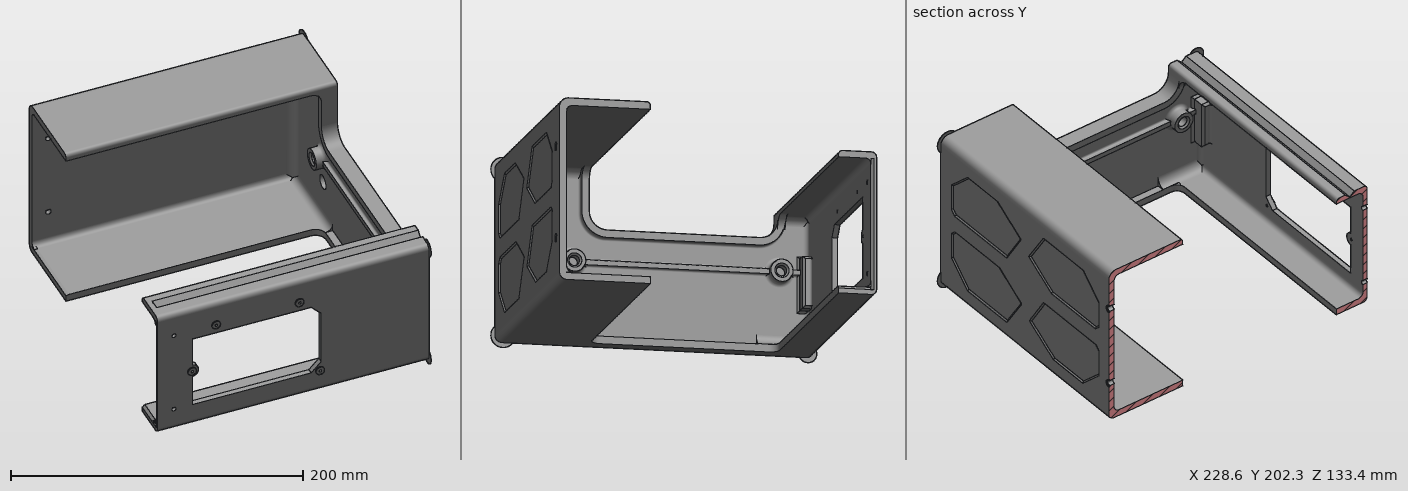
import cadquery as cq
import math

BODY_WIDTH = 222.3
BODY_DEPTH = 202.29
EPS = 1.0

LEFT_WIDTH = 63.7
LEFT_HEIGHT = 127.4
LEFT_WALL = 5.0
LEFT_FLANGE = 5.3
LEFT_BEVEL_DEPTH = 2.5
LEFT_BEVEL_DROP = 0.5
LEFT_TOP_ROUND = 6.4
LEFT_EDGE_ROUND = 2.8
LEFT_BOTTOM_ROUND = 5.0

RIGHT_WIDTH = 26.7
RIGHT_HEIGHT = 100.0
RIGHT_WALL = 4.0
RIGHT_FLANGE = 4.6
RIGHT_FRONT_CHAMFER = 1.9
RIGHT_ROUND = 3.8
RIGHT_EDGE_ROUND = 2.8
RIGHT_X = BODY_WIDTH - RIGHT_WIDTH

PLATE = 6.5
RIM_DEPTH = 12.0
RIM_WIDTH = 5.3
SADDLE_Z = 80.0
SADDLE_RADIUS = 12.5
GUSSET_LEFT = 8.0
GUSSET_RIGHT = 6.5
GUSSET_RIGHT_TOP = 9.0
LEFT_REAR_FILLETS = {"<Z": 5.4, ">Z": 6.6, "<X": 7.0}
RIGHT_REAR_FILLETS = {"<Z": 7.3, ">Z": 5.8, ">X": 3.6}
SADDLE_FILLET = 1.5
FLOOR_FILLET_LEFT_END = 70.3
FLOOR_FILLET_RIGHT_END = 182.0
INNER_ROUND = 4.0

EAR_THICKNESS = 0.3
EARS = [
    (6.0, LEFT_HEIGHT - 6.2, 8.8),
    (5.6, 5.0, 8.4),
    (BODY_WIDTH - 2.9, RIGHT_HEIGHT - 3.7, 6.4),
    (BODY_WIDTH - 2.9, 2.9, 6.35),
]

BOSS_Z = 57.2
BOSS_XS = (52.8, 198.1)
BOSS_RADIUS = 7.8
BOSS_BASE_RADIUS = 10.6
BOSS_HEIGHT = 8.0
BOSS_BORE_RADIUS = 3.6
BOSS_CHAMFER = 1.4
RIB_WIDTH = 3.6
RIB_HEIGHT = 3.2
RIB_FILLET = 1.4

CABLE_HOLE = (53.2, 35.2)
CABLE_HOLE_RADIUS = 5.3

BLOCK_X = 212.0
BLOCK_Z = 49.0
BLOCK_HEIGHT = 36.4
BLOCK_DEPTH = 11.2
BLOCK_FILLET = 1.7
BLOCK_FOOT_EDGE = 0.1

GROOVE_X = 207.0
GROOVE_WIDTH = 7.8
GROOVE_DEPTH = 3.4
GROOVE_FRONT_WEB = 4.2

WINDOW_REAR = 80.5
WINDOW_FRONT = 176.2
WINDOW_BOTTOM = 17.0
WINDOW_TOP = 74.0
WINDOW_CHAMFER = 7.5

PANEL_OUTLINES = [
    [
        (-12.2, 73.2), (-12.2, 94.2), (-30.5, 111.9), (-63.8, 111.9),
        (-91.0, 94.9), (-75.0, 69.5), (-16.2, 69.5),
    ],
    [
        (-12.2, 52.4), (-12.2, 31.7), (-30.5, 14.1), (-75.1, 14.1),
        (-91.7, 39.8), (-66.1, 56.2), (-16.2, 56.2),
    ],
]
PANEL_CENTRE = (-95.7, 63.0)
PANEL_TAPER = 50
PANEL_RECESS = 1.0

SCREW_RADIUS = 2.0
SCREW_HEAD_RADIUS = 2.9
SCREW_HEAD_DEPTH = 0.9
SCREW_FROM_FRONT = 12.2
LEFT_SCREW_ZS = (31.6, 95.7)
RIGHT_SCREW_ZS = (17.3, 81.3)
RIGHT_SCREW_RADIUS = 1.5

WINDOW_TAB = (-176.8, 46.4)
TAB_RADIUS = 5.0
PADS = [(-81.5, 17.3), WINDOW_TAB, (-96.8, 81.3), (-158.9, 81.3)]
PAD_RADIUS = 3.2
PAD_HEIGHT = 0.9
PILOT_RADIUS = 0.9


def box(x0, x1, y0, y1, z0, z1):
    """Axis-aligned block between two opposite corners."""
    return cq.Workplane("XY").box(x1 - x0, y1 - y0, z1 - z0, centered=False).translate((x0, y0, z0))


def cylinder_y(x, z, radius, y0, y1):
    """Cylinder along Y between y0 and y1."""
    return cq.Workplane("XZ", origin=(x, y1, z)).circle(radius).extrude(y1 - y0)


def outer_channels():
    """Solid envelopes of the two channels, with their rounded long edges."""
    left = box(0, LEFT_WIDTH, -BODY_DEPTH, 0, 0, LEFT_HEIGHT)
    left = left.edges("|Y and <X and >Z").fillet(LEFT_TOP_ROUND)
    left = left.edges("|Y and <X and <Z").fillet(LEFT_BOTTOM_ROUND)
    left = left.edges("|Y and >X and >Z").fillet(LEFT_EDGE_ROUND)
    right = box(RIGHT_X, BODY_WIDTH, -BODY_DEPTH, 0, 0, RIGHT_HEIGHT)
    right = right.edges("|Y and >X").fillet(RIGHT_ROUND)
    right = right.edges("|Y and <X and >Z").fillet(RIGHT_EDGE_ROUND)
    return left.union(right)


def tray_outline(x0, x1, z0, z_left, z_right, rim):
    """Closed XZ outline of the rear tray; rim moves the saddle edge into the material."""
    r = SADDLE_RADIUS + rim
    xl = LEFT_WIDTH - rim
    xr = RIGHT_X + rim
    floor = SADDLE_Z - rim
    diag = r * math.sqrt(0.5)
    return (
        cq.Workplane("XZ")
        .moveTo(x0, z0)
        .lineTo(x1, z0)
        .lineTo(x1, z_right)
        .lineTo(xr, z_right)
        .lineTo(xr, floor + r)
        .threePointArc((xr - r + diag, floor + r - diag), (xr - r, floor))
        .lineTo(xl + r, floor)
        .threePointArc((xl + r - diag, floor + r - diag), (xl, floor + r))
        .lineTo(xl, z_left)
        .lineTo(x0, z_left)
        .close()
    )


def saddle():
    """Rear block joining the channels; its top edge is the saddle."""
    x0 = LEFT_WIDTH / 2
    x1 = RIGHT_X + RIGHT_WIDTH / 2
    top = SADDLE_Z + SADDLE_RADIUS + EPS
    return tray_outline(x0, x1, 0, top, top, 0).extrude(RIM_DEPTH)


def chamber(x0, x1, z0, z1, wall, rear_fillets):
    """Channel cavity, filleted where it meets the rear plate and rounded beside the outer wall."""
    block = box(x0, x1, -BODY_DEPTH - EPS, -PLATE, z0, z1)
    hollow = block.edges("|Y and " + wall).fillet(INNER_ROUND)
    for side, radius in rear_fillets.items():
        hollow = hollow.intersect(block.edges(">Y and " + side).fillet(radius))
    return hollow


def cavity():
    """Inside of both channels and of the tray between them."""
    left_ceiling = LEFT_HEIGHT - LEFT_FLANGE
    right_ceiling = RIGHT_HEIGHT - RIGHT_FLANGE
    right_wall_x = BODY_WIDTH - RIGHT_WALL
    left_end = FLOOR_FILLET_LEFT_END
    right_end = FLOOR_FILLET_RIGHT_END
    left = chamber(LEFT_WALL, left_end, LEFT_FLANGE, left_ceiling, "<X", LEFT_REAR_FILLETS)
    right = chamber(right_end, right_wall_x, RIM_WIDTH, right_ceiling, ">X", RIGHT_REAR_FILLETS)

    front = box(0, BODY_WIDTH, -BODY_DEPTH - EPS, -RIM_DEPTH, 0, LEFT_HEIGHT)
    tray = tray_outline(0, BODY_WIDTH, RIM_WIDTH, LEFT_HEIGHT, RIGHT_HEIGHT, RIM_WIDTH)
    tray = tray.extrude(RIM_DEPTH - PLATE + EPS).translate((0, -PLATE, 0))
    around_saddle = cq.selectors.BoxSelector(
        (LEFT_WALL + RIM_WIDTH, -PLATE - EPS, RIM_WIDTH + EPS),
        (right_wall_x - RIM_WIDTH, -PLATE + EPS, left_ceiling),
    )
    tray = tray.faces(">Y").edges(around_saddle).fillet(SADDLE_FILLET)
    middle = tray.intersect(box(left_end, right_end, -BODY_DEPTH, 0, 0, LEFT_HEIGHT))
    return left.union(right).intersect(front.union(tray)).union(middle)


def floor_bevel(x0, x1, z, depth, drop):
    """Wedge that bevels the front edge of a channel floor at height z."""
    y = -BODY_DEPTH
    section = [(y, z), (y, z - drop), (y + depth, z)]
    return cq.Workplane("YZ", origin=(x0, 0, 0)).polyline(section).close().extrude(x1 - x0)


def front_bevels():
    """Wedges that bevel the inner front edges of the right wall and of both floors."""
    c = RIGHT_FRONT_CHAMFER
    y = -BODY_DEPTH
    x = BODY_WIDTH - RIGHT_WALL
    z0 = RIM_WIDTH - c
    z1 = RIGHT_HEIGHT - RIGHT_FLANGE
    wall = cq.Workplane("XY", origin=(0, 0, z0))
    wall = wall.polyline([(x, y), (x + c, y), (x, y + c)]).close().extrude(z1 - z0)
    right_floor = floor_bevel(RIGHT_X - EPS, x, RIM_WIDTH, c, c)
    left_floor = floor_bevel(LEFT_WALL, LEFT_WIDTH + EPS, LEFT_FLANGE, LEFT_BEVEL_DEPTH, LEFT_BEVEL_DROP)
    return wall.union(right_floor).union(left_floor)


def gussets():
    """Concave fillets between the rim front and the free edges of the flanges."""
    parts = None
    corners = [
        (LEFT_WIDTH, 1, GUSSET_LEFT, LEFT_FLANGE),
        (RIGHT_X, -1, GUSSET_RIGHT, RIM_WIDTH),
    ]
    for x, side, r, thickness in corners:
        xc = x + side * r
        yc = -RIM_DEPTH - r
        block = box(min(x, xc), max(x, xc), yc, -RIM_DEPTH, 0, thickness)
        block = block.cut(cq.Workplane("XY").center(xc, yc).circle(r).extrude(thickness))
        parts = block if parts is None else parts.union(block)
    ceilings = [
        (LEFT_WIDTH - RIM_WIDTH, LEFT_HEIGHT - LEFT_FLANGE, GUSSET_LEFT),
        (RIGHT_X, RIGHT_HEIGHT - RIGHT_FLANGE, GUSSET_RIGHT_TOP),
    ]
    for x, z, r in ceilings:
        yc = -RIM_DEPTH - r
        block = box(x, x + RIM_WIDTH, yc, -RIM_DEPTH, z - r, z)
        block = block.cut(cq.Workplane("YZ", origin=(x, yc, z - r)).circle(r).extrude(RIM_WIDTH))
        parts = parts.union(block)
    return parts


def ears():
    """Thin discs at the four corners of the rear face."""
    discs = None
    for x, z, radius in EARS:
        disc = cylinder_y(x, z, radius, -EAR_THICKNESS, 0)
        discs = disc if discs is None else discs.union(disc)
    return discs


def rib(x0, x1):
    """Rib on the rear plate with concave fillets along both feet."""
    half = RIB_WIDTH / 2
    f = RIB_FILLET
    d = f * (1 - math.sqrt(0.5))
    y0 = -PLATE
    return (
        cq.Workplane("YZ", origin=(x0, 0, BOSS_Z))
        .moveTo(y0 + EPS, half + f)
        .lineTo(y0, half + f)
        .threePointArc((y0 - d, half + d), (y0 - f, half))
        .lineTo(y0 - RIB_HEIGHT, half)
        .lineTo(y0 - RIB_HEIGHT, -half)
        .lineTo(y0 - f, -half)
        .threePointArc((y0 - d, -half - d), (y0, -half - f))
        .lineTo(y0 + EPS, -half - f)
        .close()
        .extrude(x1 - x0)
    )


def boss(x):
    """Round boss on the rear plate with a concave flare at its foot."""
    f = BOSS_BASE_RADIUS - BOSS_RADIUS
    d = f * (1 - math.sqrt(0.5))
    profile = (
        cq.Workplane("XY")
        .moveTo(0, EPS)
        .lineTo(BOSS_BASE_RADIUS, EPS)
        .lineTo(BOSS_BASE_RADIUS, 0)
        .threePointArc((BOSS_RADIUS + d, -d), (BOSS_RADIUS, -f))
        .lineTo(BOSS_RADIUS, -BOSS_HEIGHT)
        .lineTo(0, -BOSS_HEIGHT)
        .close()
    )
    return profile.revolve(360, (0, 0, 0), (0, 1, 0)).translate((x, -PLATE, BOSS_Z))


def boss_bore(x):
    """Blind bore of a boss, down to the plate, with a countersunk mouth."""
    face = -PLATE - BOSS_HEIGHT
    bore = cylinder_y(x, BOSS_Z, BOSS_BORE_RADIUS, face, -PLATE)
    sink = cq.Solid.makeCone(
        BOSS_BORE_RADIUS + BOSS_CHAMFER,
        BOSS_BORE_RADIUS,
        BOSS_CHAMFER,
        pnt=cq.Vector(x, face, BOSS_Z),
        dir=cq.Vector(0, 1, 0),
    )
    return bore.union(cq.Workplane(sink))


def guide_block():
    """Raised block beside the right wall: bevelled front, flared foot, filleted into the wall."""
    z0 = BLOCK_Z - BLOCK_HEIGHT / 2
    z1 = BLOCK_Z + BLOCK_HEIGHT / 2
    f = BLOCK_FILLET
    wall = BODY_WIDTH - RIGHT_WALL
    buried = BODY_WIDTH - RIGHT_WALL / 2
    front = -PLATE - BLOCK_DEPTH
    block = box(BLOCK_X, buried, front, -PLATE / 2, z0, z1)
    block = block.faces("<Y").edges("not(>X)").chamfer(f)
    foot = box(BLOCK_X - f, buried, -PLATE - f, -PLATE / 2, z0 - f, z1 + f)
    foot = foot.faces("<Y").edges("not(>X)").chamfer(f - BLOCK_FOOT_EDGE)
    root = box(wall - f, buried, front - f, front, z0 + f, z1 - f)
    root = root.cut(cq.Workplane("XY", origin=(wall - f, front - f, z0)).circle(f).extrude(z1 - z0))
    return block.union(foot).union(root)


def groove():
    """V groove in the right top flange, open at the rear."""
    half = GROOVE_WIDTH / 2
    return (
        cq.Workplane("XZ", origin=(0, EPS, RIGHT_HEIGHT))
        .moveTo(GROOVE_X - half, 0)
        .lineTo(GROOVE_X, -GROOVE_DEPTH)
        .lineTo(GROOVE_X + half, 0)
        .close()
        .extrude(BODY_DEPTH - GROOVE_FRONT_WEB + EPS)
    )


def window():
    """Opening through the right wall with its rear corners cut off."""
    x0 = BODY_WIDTH - RIGHT_WALL - EPS
    opening = box(x0, BODY_WIDTH + EPS, -WINDOW_FRONT, -WINDOW_REAR, WINDOW_BOTTOM, WINDOW_TOP)
    return opening.edges("|X and >Y").chamfer(WINDOW_CHAMFER)


def panels():
    """Four shallow recesses with sloping sides in the outer face of the left wall."""
    yc, zc = PANEL_CENTRE
    cut = cq.Workplane("YZ")
    for outline in PANEL_OUTLINES:
        panel = cq.Workplane("YZ").polyline(outline).close().extrude(PANEL_RECESS, taper=PANEL_TAPER)
        opposite = panel.rotate((0, yc, zc), (1, yc, zc), 180)
        cut = cut.add(panel).add(opposite)
    return cut.combine()


def left_screw_holes():
    """Counterbored screw holes near the front of the left wall."""
    cut = None
    for z in LEFT_SCREW_ZS:
        y = SCREW_FROM_FRONT - BODY_DEPTH
        plane = cq.Workplane("YZ", origin=(0, y, z))
        hole = plane.circle(SCREW_RADIUS).extrude(LEFT_WALL)
        hole = hole.union(plane.circle(SCREW_HEAD_RADIUS).extrude(SCREW_HEAD_DEPTH))
        cut = hole if cut is None else cut.union(hole)
    return cut


def right_bosses():
    """Round pads on the outer face of the right wall, and the tab carrying the one at the window edge."""
    x_in = BODY_WIDTH - RIGHT_WALL
    pads = cq.Workplane("YZ", origin=(x_in, 0, 0)).pushPoints(PADS).circle(PAD_RADIUS)
    tab = cq.Workplane("YZ", origin=(x_in, 0, 0)).pushPoints([WINDOW_TAB]).circle(TAB_RADIUS)
    return pads.extrude(RIGHT_WALL + PAD_HEIGHT).union(tab.extrude(RIGHT_WALL))


def right_holes():
    """Pilot holes through the pads and screw holes near the front of the right wall."""
    start = cq.Workplane("YZ", origin=(BODY_WIDTH - RIGHT_WALL - EPS, 0, 0))
    depth = RIGHT_WALL + PAD_HEIGHT + 2 * EPS
    pilots = start.pushPoints(PADS).circle(PILOT_RADIUS).extrude(depth)
    y = SCREW_FROM_FRONT - BODY_DEPTH
    screws = start.pushPoints([(y, z) for z in RIGHT_SCREW_ZS]).circle(RIGHT_SCREW_RADIUS).extrude(depth)
    return pilots.union(screws)


result = outer_channels().union(saddle()).cut(cavity()).union(gussets()).union(ears())
result = result.union(rib(BOSS_XS[0], BLOCK_X + EPS)).union(guide_block())
for boss_x in BOSS_XS:
    result = result.union(boss(boss_x))
for boss_x in BOSS_XS:
    result = result.cut(boss_bore(boss_x))
result = result.cut(cylinder_y(*CABLE_HOLE, CABLE_HOLE_RADIUS, -PLATE - EPS, EPS))
result = result.cut(groove()).cut(window()).cut(panels()).cut(left_screw_holes()).cut(front_bevels())
result = result.union(right_bosses()).cut(right_holes())